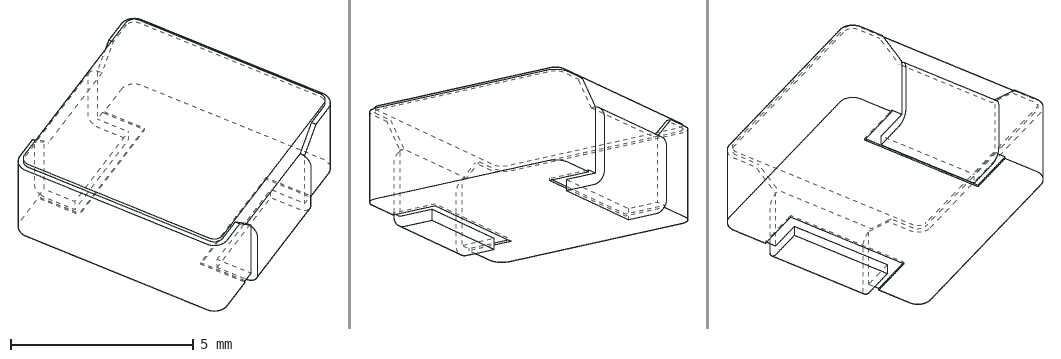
import cadquery as cq

terminal_span = 7.0
body_size = 6.5
body_offset_x = 0.05
standoff = 0.265
total_height = 3.0

lid_height = 0.11
lid_inset = 0.14
corner_radius = 0.405
lid_corner_radius = corner_radius - lid_inset
body_top = total_height - lid_height

terminal_width = 3.01
terminal_top = 2.24
foot_length = 1.27
bend_radius = 0.35

recess_top_width = 4.285

pocket_clearance = 0.33
pocket_depth = 0.055


def rounded_block(size, radius, bottom, top):
    """Square block with rounded vertical edges, centred on the body axis."""
    return (
        cq.Workplane("XY", origin=(body_offset_x, 0, bottom))
        .rect(size, size)
        .extrude(top - bottom)
        .edges("|Z")
        .fillet(radius)
    )


def end_recess(side):
    """Cutter bringing one end wall back flush with the lid: terminal-wide below, flaring out above it."""
    wall_x = body_offset_x + side * body_size / 2
    return (
        cq.Workplane("YZ", origin=(wall_x, 0, 0))
        .moveTo(-terminal_width / 2, standoff)
        .lineTo(terminal_width / 2, standoff)
        .lineTo(terminal_width / 2, terminal_top)
        .lineTo(recess_top_width / 2, body_top)
        .lineTo(-recess_top_width / 2, body_top)
        .lineTo(-terminal_width / 2, terminal_top)
        .close()
        .extrude(-side * lid_inset)
    )


def foot_pocket(side):
    """Cutter for the underside pocket, open at the end wall and clear of the foot on its other sides."""
    outer_x = side * terminal_span / 2
    inner_x = outer_x - side * (foot_length + pocket_clearance)
    pocket_width = terminal_width + 2 * pocket_clearance
    return (
        cq.Workplane("XY", origin=((outer_x + inner_x) / 2, 0, standoff))
        .rect(abs(outer_x - inner_x), pocket_width)
        .extrude(pocket_depth)
    )


def terminal(side):
    """Terminal as a block with rounded outer bends; the part above its foot merges into the body."""
    outer_x = side * terminal_span / 2
    inner_x = outer_x - side * foot_length
    middle_x = (outer_x + inner_x) / 2
    outer_face = ">X" if side > 0 else "<X"
    return (
        cq.Workplane("XY")
        .box(foot_length, terminal_width, terminal_top, centered=(True, True, False))
        .translate((middle_x, 0, 0))
        .faces(outer_face)
        .edges("|Y")
        .fillet(bend_radius)
    )


body = rounded_block(body_size, corner_radius, standoff, body_top)
lid = rounded_block(body_size - 2 * lid_inset, lid_corner_radius, standoff, total_height)

end_sides = (-1, 1)
result = body
for side in end_sides:
    result = result.cut(end_recess(side))
result = result.union(lid)
for side in end_sides:
    result = result.cut(foot_pocket(side)).union(terminal(side))